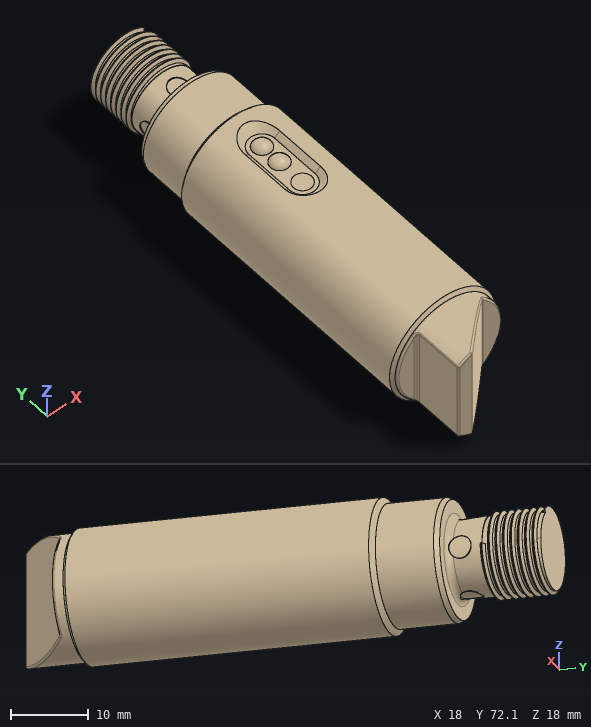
import cadquery as cq
import math

length = 72.1
rear_y = length / 2
tip_y = -length / 2

barrel_radius = 18.0 / 2
barrel_rear_y = 14.65
rear_bevel_length = 0.65
barrel_front_y = -27.05
front_bevel_length = 0.4
tip_joint_y = barrel_front_y - front_bevel_length
collar_radius = 16.4 / 2
collar_rear_radius = 15.7 / 2
collar_rear_y = 23.2
collar_bevel_length = 0.7
tip_radius = 16.9 / 2

thread_root_radius = 10.5 / 2
thread_crest_radius = 11.5 / 2
thread_front_y = 28.1
thread_pitch = 1.0
thread_root_width = 0.8
thread_crest_width = 0.11
thread_embed = 0.1
thread_front_margin = 0.1
neck_rear_radius = 5.3
neck_front_radius = 5.1
neck_fillet = 0.95

window_radius = 3.0 / 2
window_y = 25.1
window_face_radius = 5.08
window_count = 4

blade_side_x = -5.05
blade_end_x = -2.7
blade_foot_x = 5.05
left_step_y = -27.9
right_step_y = -29.0
blade_root_fillet = 0.5
tip_edge_round = 0.3

pocket_floor_z = 7.65
pocket_floor_radius = 2.15
pocket_rear_y = 8.6
pocket_front_y = 0.6
pocket_wall_angle = 45.0

insert_radius = 3.0 / 2
insert_depth = 0.7
dome_height = 1.0
light_ys = [pocket_rear_y, 5.1]
button_y = pocket_front_y


def make_turned_body():
    """Revolve the barrel, collar and neck as one profile of (radius, y) points."""
    fillet_y = collar_rear_y + neck_fillet
    fillet_mid = neck_fillet * (1 - math.sqrt(0.5))
    profile = (
        cq.Workplane("XY")
        .moveTo(0, tip_joint_y)
        .lineTo(tip_radius, tip_joint_y)
        .lineTo(barrel_radius, barrel_front_y)
        .lineTo(barrel_radius, barrel_rear_y - rear_bevel_length)
        .lineTo(collar_radius, barrel_rear_y)
        .lineTo(collar_radius, collar_rear_y - collar_bevel_length)
        .lineTo(collar_rear_radius, collar_rear_y)
        .lineTo(neck_front_radius + neck_fillet, collar_rear_y)
        .threePointArc(
            (neck_front_radius + fillet_mid, collar_rear_y + fillet_mid),
            (neck_front_radius, fillet_y),
        )
        .lineTo(neck_rear_radius, thread_front_y)
        .lineTo(thread_root_radius, thread_front_y)
        .lineTo(thread_root_radius, rear_y)
        .lineTo(0, rear_y)
        .close()
    )
    return profile.revolve(360, (0, 0, 0), (0, 1, 0))


def make_thread():
    """Sweep a V ridge along a helix, then turn its axis from Z to Y and trim it at the rear face."""
    start = thread_front_y + thread_front_margin
    helix_length = rear_y - start
    base_radius = thread_root_radius - thread_embed
    path = cq.Wire.makeHelix(thread_pitch, helix_length, thread_root_radius)
    ridge = (
        cq.Workplane("XZ")
        .polyline([
            (base_radius, -thread_root_width / 2),
            (thread_crest_radius, -thread_crest_width / 2),
            (thread_crest_radius, thread_crest_width / 2),
            (base_radius, thread_root_width / 2),
        ])
        .close()
        .sweep(cq.Workplane(path), isFrenet=True)
    )
    ridge = ridge.rotate((0, 0, 0), (1, 0, 0), -90).translate((0, start, 0))
    keep = cq.Workplane("XZ", origin=(0, rear_y, 0)).circle(barrel_radius).extrude(length)
    return ridge.intersect(keep)


def make_tip_cutters():
    """Solids that leave the wedge blade standing between two flat steps."""
    reach = 2 * barrel_radius
    below = tip_y - 0.7
    overrun = 0.7 / (right_step_y - tip_y)
    slope_x = blade_end_x - overrun * (blade_foot_x - blade_end_x)
    left = (
        cq.Workplane("XY")
        .moveTo(-reach, below)
        .lineTo(blade_side_x, below)
        .lineTo(blade_side_x, left_step_y - blade_root_fillet)
        .radiusArc((blade_side_x - blade_root_fillet, left_step_y), -blade_root_fillet)
        .lineTo(-reach, left_step_y)
        .close()
    )
    right = cq.Workplane("XY").polyline([
        (slope_x, below),
        (blade_foot_x, right_step_y),
        (reach, right_step_y),
        (reach, below),
    ]).close()
    return [side.extrude(barrel_radius, both=True) for side in (left, right)]


def make_tip():
    """Wedge-bladed tip with every edge forward of its joint to the barrel rounded."""
    tip = cq.Workplane("XZ", origin=(0, tip_joint_y, 0)).circle(tip_radius).extrude(tip_joint_y - tip_y)
    for cutter in make_tip_cutters():
        tip = tip.cut(cutter)
    front_edges = cq.selectors.BoxSelector(
        (-barrel_radius, tip_y - 0.7, -barrel_radius),
        (barrel_radius, left_step_y + tip_edge_round, barrel_radius),
    )
    return tip.edges(front_edges).fillet(tip_edge_round)


def make_pocket():
    """Slot with walls that flare outward from the floor."""
    straight = pocket_rear_y - pocket_front_y
    depth = barrel_radius - pocket_floor_z + 0.7
    return (
        cq.Workplane("XY", origin=(0, (pocket_rear_y + pocket_front_y) / 2, pocket_floor_z))
        .slot2D(straight + 2 * pocket_floor_radius, 2 * pocket_floor_radius, 90)
        .extrude(depth, taper=-pocket_wall_angle)
    )


def make_window_cutters():
    """Round pockets whose floor is a cylinder just inside the neck surface."""
    neck_core = cq.Workplane("XZ", origin=(0, window_y, 0)).circle(window_face_radius)
    neck_core = neck_core.extrude(2 * window_radius, both=True)
    bore = (
        cq.Workplane("XY", origin=(0, window_y, 0))
        .circle(window_radius)
        .extrude(barrel_radius)
        .cut(neck_core)
    )
    turn = 360 / window_count
    return [bore.rotate((0, 0, 0), (0, 1, 0), i * turn) for i in range(window_count)]


def make_plug(y):
    """Flush round plug seated in the pocket floor."""
    plane = cq.Workplane("XY", origin=(0, y, pocket_floor_z - insert_depth))
    return plane.circle(insert_radius).extrude(insert_depth)


def make_light(y):
    """Indicator light: a seated plug topped by a spherical cap."""
    top_z = pocket_floor_z + dome_height
    return (
        cq.Workplane("XZ", origin=(0, y, 0))
        .moveTo(0, pocket_floor_z - insert_depth)
        .lineTo(insert_radius, pocket_floor_z - insert_depth)
        .lineTo(insert_radius, pocket_floor_z)
        .radiusArc((0, top_z), -(insert_radius**2 + dome_height**2) / (2 * dome_height))
        .close()
        .revolve(360, (0, 0, 0), (0, 1, 0))
    )


def make_housing():
    """Sensor housing with all its recesses."""
    body = make_turned_body().union(make_thread()).union(make_tip())
    cutters = [make_pocket()] + make_window_cutters()
    cutters += [make_plug(y) for y in light_ys + [button_y]]
    for cutter in cutters:
        body = body.cut(cutter)
    return body


housing = make_housing()
lights = [make_light(y) for y in light_ys]
button = make_plug(button_y)

result = cq.Compound.makeCompound([housing.val(), *[light.val() for light in lights], button.val()])